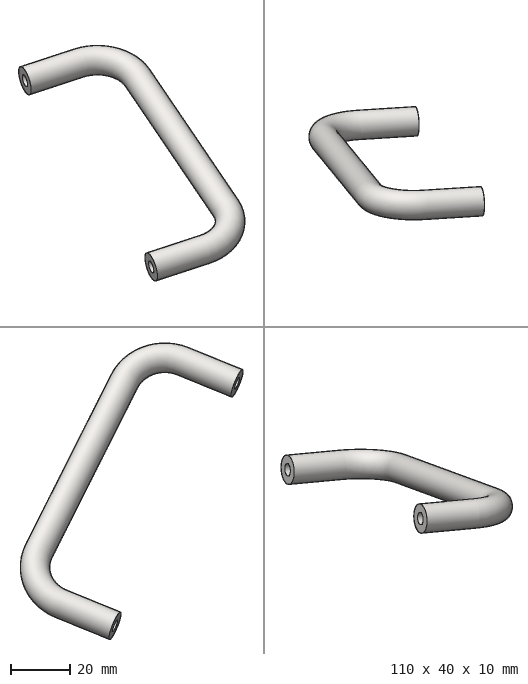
import cadquery as cq
import math

overall_length = 110.0
overall_depth = 40.0
rod_diameter = 10.0
bend_outer_radius = 20.0
hole_diameter = 4.2
hole_depth = 13.2

rod_radius = rod_diameter / 2
leg_x = overall_length / 2 - rod_radius
grip_y = overall_depth - rod_radius
bend_radius = bend_outer_radius - rod_radius
grip_end_x = leg_x - bend_radius
leg_length = grip_y - bend_radius
bend_mid_x = grip_end_x + bend_radius * math.cos(math.pi / 4)
bend_mid_y = leg_length + bend_radius * math.sin(math.pi / 4)


def cylinder_along_y(x, diameter, length):
    """Cylinder from the leg end plane inwards, along +Y."""
    base = cq.Workplane("XZ", origin=(x, 0, 0))
    return base.circle(diameter / 2).extrude(-length)


def bent_rod():
    """Round rod swept along leg, bend, grip, bend and leg."""
    centreline = (
        cq.Workplane("XY")
        .moveTo(-leg_x, 0)
        .lineTo(-leg_x, leg_length)
        .threePointArc((-bend_mid_x, bend_mid_y), (-grip_end_x, grip_y))
        .lineTo(grip_end_x, grip_y)
        .threePointArc((bend_mid_x, bend_mid_y), (leg_x, leg_length))
        .lineTo(leg_x, 0)
    )
    section = cq.Workplane("XZ", origin=(-leg_x, 0, 0)).circle(rod_radius)
    return section.sweep(centreline)


result = bent_rod()

for hole_x in (-leg_x, leg_x):
    result = result.cut(cylinder_along_y(hole_x, hole_diameter, hole_depth))